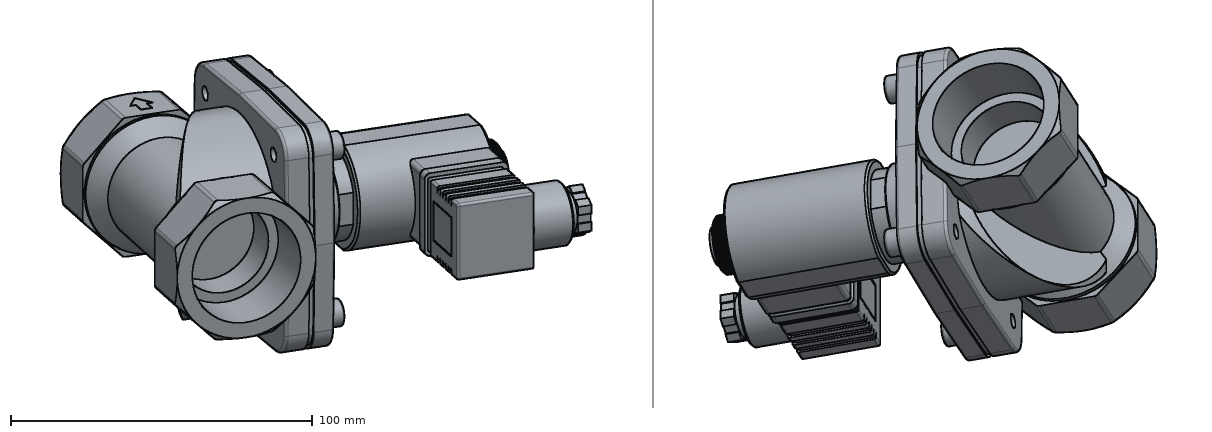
import cadquery as cq
import math


PIPE_HALF_LENGTH = 51.0
OCTAGON_FLATS = 49.7
OCTAGON_LENGTH = 19.7
OCTAGON_EDGE_ROUND = 1.9
PIPE_DIAMETER = 37.5
COLLAR_LENGTH = 1.3
COLLAR_RADIUS = 24.4
THREAD_DIAMETER = 38.9
BORE_DIAMETER = 32.0
BORE_DEPTH = 32.5

ARROW_TIP_X = -46.7
ARROW_LENGTH = 10.4
ARROW_HEAD_LENGTH = 5.9
ARROW_HEAD_WIDTH = 8.0
ARROW_SHAFT_WIDTH = 4.0
ARROW_DEPTH = 0.1

BOWL_RADIUS = 34.0
BOWL_SLANT = 30.0
BOWL_EDGE_ANGLE = 30.0

FLANGE_HALF_WIDTH = 41.0
FLANGE_CORNER = 39.6
FLANGE_CORNER_ROUND = 8.9
FLANGE_EDGE_ROUND = 1.0
COVER_EDGE_ROUND = 0.7
GASKET_INSET = 0.7
FLANGE_BOTTOM_Y = 18.3
GASKET_BOTTOM_Y = 26.9
COVER_BOTTOM_Y = 28.7
COVER_TOP_Y = 36.0

SCREW_OFFSET = 29.9
SCREW_HEAD_DIAMETER = 9.5
SCREW_HEAD_HEIGHT = 6.2
SCREW_HEAD_ROUND = 0.7
SCREW_HOLE_DIAMETER = 4.9
SCREW_HOLE_DEPTH = 2.0

CONE_TOP_Y = 41.1
CONE_TOP_RADIUS = 21.1
NECK_TOP_Y = 47.6
NECK_RADIUS = 17.0
NECK_CHAMFER = 0.5
WRENCH_DIAMETER = 32.0
WRENCH_FLATS = 29.9
TUBE_DIAMETER = 13.0
TUBE_TOP_Y = 112.4

WASHER_DIAMETER = 19.0
NUT_BOTTOM_Y = 104.5
NUT_TOP_Y = 110.6
NUT_RADIUS = 10.0
NUT_CHAMFER = 0.9
KNURL_COUNT = 90
KNURL_DEPTH = 0.3

COIL_BOTTOM_Y = 53.1
COIL_TOP_Y = 103.4
COIL_DIAMETER = 38.9
COIL_FLATS = 37.5
COIL_CHAMFER = 0.7
BLOCK_END_X = 24.8
BLOCK_BOTTOM_Y = 73.5
BLOCK_WIDTH = 27.8
BLOCK_ROUND = 1.6

PLUG_GASKET_END_X = 29.7
PLUG_GASKET_BOTTOM_Y = 72.6
PLUG_GASKET_TOP_Y = 102.6
PLUG_GASKET_WIDTH = 29.6
PLUG_GASKET_ROUND = 2.0
PLUG_GASKET_CHAMFER = 0.7
PLUG_END_X = 56.5
PLUG_BOTTOM_Y = 73.4
PLUG_TOP_Y = 101.2
PLUG_WIDTH = 27.4
PLUG_ROUND = 0.9
PLUG_NECK_END_X = 33.1
PLUG_NECK_INSET = 0.5
GROOVE_START_X = 39.0
GROOVE_WIDTH = 2.5
GROOVE_PITCH = 4.9
GROOVE_COUNT = 3
GROOVE_DEPTH = 0.7
GROOVE_CORNER_ROUND = 1.6
LABEL_START_X = 35.3
LABEL_LENGTH = 15.7
LABEL_WIDTH = 13.9
LABEL_DEPTH = 0.3

GLAND_X = 44.8
GLAND_DIAMETER = 22.0
GLAND_TOP_Y = 115.8
GLAND_CHAMFER = 0.7
GLAND_NECK_DIAMETER = 14.0
CAP_BOTTOM_Y = 118.3
CAP_TOP_Y = 123.0
CAP_FLATS = 15.8
CAP_NOTCH_DEPTH = 0.6


def plate(y):
    """Workplane at height y facing +Y; its local axes are X and -Z."""
    return cq.Workplane("XZ", origin=(0, y, 0)).transformed(rotate=(180, 0, 0))


def post(diameter, bottom_y, top_y, x=0.0):
    """Cylinder along Y."""
    return plate(bottom_y).center(x, 0).circle(diameter / 2).extrude(top_y - bottom_y)


def block(x_range, y_range, width):
    """Box centred on Z = 0."""
    length = x_range[1] - x_range[0]
    height = y_range[1] - y_range[0]
    corner = cq.Vector(x_range[0], y_range[0], -width / 2)
    return cq.Workplane(cq.Solid.makeBox(length, height, width, corner))


def pipe_end():
    """Octagonal -X pipe end with its outer chamfer, collar and cone down to the pipe."""
    outer_x = -PIPE_HALF_LENGTH
    octagon_end_x = outer_x + OCTAGON_LENGTH
    cone_start_x = octagon_end_x + COLLAR_LENGTH
    flat_radius = OCTAGON_FLATS / 2
    corner_radius = flat_radius / math.cos(math.pi / 8)
    pipe_radius = PIPE_DIAMETER / 2
    chamfer = corner_radius - flat_radius
    octagon = (
        cq.Workplane("YZ", origin=(outer_x, 0, 0))
        .polygon(8, 2 * corner_radius)
        .extrude(OCTAGON_LENGTH)
        .rotate((0, 0, 0), (1, 0, 0), 22.5)
        .edges("|X")
        .fillet(OCTAGON_EDGE_ROUND)
    )
    envelope = (
        cq.Workplane("XY")
        .moveTo(outer_x, 0)
        .lineTo(outer_x, flat_radius)
        .lineTo(outer_x + chamfer, corner_radius)
        .lineTo(octagon_end_x, corner_radius)
        .lineTo(octagon_end_x, 0)
        .close()
        .revolve(360, (0, 0, 0), (1, 0, 0))
    )
    collar = (
        cq.Workplane("XY")
        .moveTo(octagon_end_x, 0)
        .lineTo(octagon_end_x, COLLAR_RADIUS)
        .lineTo(cone_start_x, COLLAR_RADIUS)
        .lineTo(cone_start_x + COLLAR_RADIUS - pipe_radius, pipe_radius)
        .lineTo(0, pipe_radius)
        .lineTo(0, 0)
        .close()
        .revolve(360, (0, 0, 0), (1, 0, 0))
    )
    return octagon.intersect(envelope).union(collar)


def pipe_bore():
    """Stepped blind bore entering from the -X end."""
    mouth = cq.Workplane("YZ", origin=(-PIPE_HALF_LENGTH, 0, 0))
    thread = mouth.circle(THREAD_DIAMETER / 2).extrude(OCTAGON_LENGTH)
    return thread.union(mouth.circle(BORE_DIAMETER / 2).extrude(BORE_DEPTH))


def flow_arrow():
    """Arrow-shaped cutter that points toward -X."""
    head_end_x = ARROW_TIP_X + ARROW_HEAD_LENGTH
    tail_x = ARROW_TIP_X + ARROW_LENGTH
    return (
        cq.Workplane("XY", origin=(0, 0, OCTAGON_FLATS / 2 - ARROW_DEPTH))
        .moveTo(ARROW_TIP_X, 0)
        .lineTo(head_end_x, ARROW_HEAD_WIDTH / 2)
        .lineTo(head_end_x, ARROW_SHAFT_WIDTH / 2)
        .lineTo(tail_x, ARROW_SHAFT_WIDTH / 2)
        .lineTo(tail_x, -ARROW_SHAFT_WIDTH / 2)
        .lineTo(head_end_x, -ARROW_SHAFT_WIDTH / 2)
        .lineTo(head_end_x, -ARROW_HEAD_WIDTH / 2)
        .close()
        .extrude(2 * ARROW_DEPTH)
    )


def bowl():
    """Round bowl under the flange, ending in a slanted disc with a conical rim."""
    slant = math.radians(BOWL_SLANT)
    height = 2 * BOWL_RADIUS
    widening = height / math.tan(math.radians(BOWL_EDGE_ANGLE))
    slanted_cone = cq.Solid.makeCone(
        BOWL_RADIUS,
        BOWL_RADIUS + widening,
        height,
        cq.Vector(0, 0, 0),
        cq.Vector(math.sin(slant), math.cos(slant), 0),
    )
    return post(2 * BOWL_RADIUS, -BOWL_RADIUS, FLANGE_BOTTOM_Y).intersect(cq.Workplane(slanted_cone))


def flange(bottom_y, top_y, inset=0.0):
    """Square plate with rounded corners and slightly peaked sides."""
    peak = FLANGE_HALF_WIDTH - inset
    corner = FLANGE_CORNER - inset
    outline = [
        (peak, 0),
        (corner, corner),
        (0, peak),
        (-corner, corner),
        (-peak, 0),
        (-corner, -corner),
        (0, -peak),
        (corner, -corner),
    ]
    corner_edges = cq.selectors.BoxSelector
    solid = plate(bottom_y).polyline(outline).close().extrude(top_y - bottom_y)
    reach = corner + 1.5
    for x_side in (-1, 1):
        for z_side in (-1, 1):
            near = (x_side * (corner - 1.5), bottom_y, z_side * (corner - 1.5))
            far = (x_side * reach, top_y, z_side * reach)
            solid = solid.edges(corner_edges(near, far)).edges("|Y").fillet(FLANGE_CORNER_ROUND)
    return solid


def screw_points(y):
    """The four screw axes on a workplane at height y."""
    return plate(y).rect(2 * SCREW_OFFSET, 2 * SCREW_OFFSET, forConstruction=True).vertices()


def knurled_nut():
    """Nut with pointed knurls around it and chamfered rims."""
    outline = []
    for i in range(2 * KNURL_COUNT):
        angle = math.pi * i / KNURL_COUNT
        radius = NUT_RADIUS - KNURL_DEPTH * (i % 2)
        outline.append((radius * math.cos(angle), radius * math.sin(angle)))
    knurl = plate(NUT_BOTTOM_Y).polyline(outline).close().extrude(NUT_TOP_Y - NUT_BOTTOM_Y)
    envelope = post(2 * NUT_RADIUS, NUT_BOTTOM_Y, NUT_TOP_Y).edges().chamfer(NUT_CHAMFER)
    return knurl.intersect(envelope)


def make_valve():
    """Valve body with its cover, screws, solenoid tube and nut."""
    west_end = pipe_end()
    lower_flange = flange(FLANGE_BOTTOM_Y, GASKET_BOTTOM_Y)
    gasket = flange(GASKET_BOTTOM_Y, COVER_BOTTOM_Y, GASKET_INSET)
    cover = flange(COVER_BOTTOM_Y, COVER_TOP_Y)
    cone_height = CONE_TOP_Y - COVER_TOP_Y
    cone = cq.Solid.makeCone(
        CONE_TOP_RADIUS + cone_height,
        CONE_TOP_RADIUS,
        cone_height,
        cq.Vector(0, COVER_TOP_Y, 0),
        cq.Vector(0, 1, 0),
    )
    heads = screw_points(COVER_TOP_Y).circle(SCREW_HEAD_DIAMETER / 2).extrude(SCREW_HEAD_HEIGHT)
    neck = post(2 * NECK_RADIUS, CONE_TOP_Y, NECK_TOP_Y).faces(">Y").chamfer(NECK_CHAMFER)
    wrench_part = post(WRENCH_DIAMETER, NECK_TOP_Y, COIL_BOTTOM_Y).intersect(
        block((-WRENCH_FLATS / 2, WRENCH_FLATS / 2), (NECK_TOP_Y, COIL_BOTTOM_Y), WRENCH_DIAMETER)
    )
    valve = (
        west_end.union(west_end.mirror("YZ"))
        .union(bowl())
        .union(lower_flange.faces("<Y").edges().fillet(FLANGE_EDGE_ROUND))
        .union(gasket)
        .union(cover.faces(">Y").edges().fillet(COVER_EDGE_ROUND))
        .union(cq.Workplane(cone))
        .union(heads.faces(">Y").edges().fillet(SCREW_HEAD_ROUND))
        .union(neck)
        .union(wrench_part)
        .union(post(TUBE_DIAMETER, COIL_BOTTOM_Y, TUBE_TOP_Y))
        .union(post(WASHER_DIAMETER, COIL_TOP_Y, NUT_BOTTOM_Y))
        .union(knurled_nut())
    )
    screw_holes = screw_points(FLANGE_BOTTOM_Y).circle(SCREW_HOLE_DIAMETER / 2).extrude(SCREW_HOLE_DEPTH)
    bore = pipe_bore()
    return valve.cut(bore).cut(bore.mirror("YZ")).cut(screw_holes).cut(flow_arrow())


def make_coil():
    """Round coil with two flats, a terminal block on its +X side and a hole for the tube."""
    radius = COIL_DIAMETER / 2
    slab = block((-radius, radius), (COIL_BOTTOM_Y, COIL_TOP_Y), COIL_FLATS)
    slab = slab.faces(">Z or <Z").edges("|X").chamfer(COIL_CHAMFER)
    winding = post(COIL_DIAMETER, COIL_BOTTOM_Y, COIL_TOP_Y).edges().chamfer(COIL_CHAMFER).intersect(slab)
    terminal = block((0, BLOCK_END_X), (BLOCK_BOTTOM_Y, COIL_TOP_Y), BLOCK_WIDTH)
    terminal = terminal.edges("|X").fillet(BLOCK_ROUND)
    return winding.union(terminal).cut(post(TUBE_DIAMETER, COIL_BOTTOM_Y, COIL_TOP_Y))


def gland_cap():
    """Hexagonal cap with the middle third of each side notched."""
    height = CAP_TOP_Y - CAP_BOTTOM_Y
    corner_diameter = CAP_FLATS / math.cos(math.pi / 6)
    side = corner_diameter / 2
    cap = cq.Workplane("XZ", origin=(GLAND_X, CAP_TOP_Y, 0)).polygon(6, corner_diameter).extrude(height)
    for i in range(6):
        notch = (
            cq.Workplane("XZ", origin=(GLAND_X, CAP_TOP_Y, 0))
            .center(0, CAP_FLATS / 2)
            .rect(side / 3, 2 * CAP_NOTCH_DEPTH)
            .extrude(height)
            .rotate((GLAND_X, 0, 0), (GLAND_X, 1, 0), 60 * i)
        )
        cap = cap.cut(notch)
    return cap.rotate((GLAND_X, 0, 0), (GLAND_X, 1, 0), 30)


def make_plug():
    """Connector plug with its gasket, side grooves and cable gland."""
    gasket = block(
        (BLOCK_END_X, PLUG_GASKET_END_X), (PLUG_GASKET_BOTTOM_Y, PLUG_GASKET_TOP_Y), PLUG_GASKET_WIDTH
    )
    gasket = gasket.edges("|X").fillet(PLUG_GASKET_ROUND).faces("<X").chamfer(PLUG_GASKET_CHAMFER)
    neck = block(
        (PLUG_GASKET_END_X, PLUG_NECK_END_X),
        (PLUG_BOTTOM_Y + PLUG_NECK_INSET, PLUG_TOP_Y - PLUG_NECK_INSET),
        PLUG_WIDTH - 2 * PLUG_NECK_INSET,
    )
    housing = block((PLUG_NECK_END_X, PLUG_END_X), (PLUG_BOTTOM_Y, PLUG_TOP_Y), PLUG_WIDTH)
    housing = housing.edges("|X or >X").fillet(PLUG_ROUND)
    for i in range(GROOVE_COUNT):
        start_x = GROOVE_START_X + i * GROOVE_PITCH
        groove_range = (start_x, start_x + GROOVE_WIDTH)
        slab = block(groove_range, (PLUG_BOTTOM_Y, PLUG_TOP_Y), PLUG_WIDTH)
        core = block(groove_range, (PLUG_BOTTOM_Y, PLUG_TOP_Y), PLUG_WIDTH - 2 * GROOVE_DEPTH)
        housing = housing.cut(slab.cut(core.edges("|X").fillet(GROOVE_CORNER_ROUND)))
    label = block(
        (LABEL_START_X, LABEL_START_X + LABEL_LENGTH),
        (PLUG_BOTTOM_Y, PLUG_BOTTOM_Y + LABEL_DEPTH),
        LABEL_WIDTH,
    )
    gland = post(GLAND_DIAMETER, PLUG_TOP_Y, GLAND_TOP_Y, GLAND_X).faces(">Y").chamfer(GLAND_CHAMFER)
    return (
        housing.cut(label)
        .union(gasket)
        .union(neck.edges("|X").fillet(PLUG_ROUND))
        .union(gland)
        .union(post(GLAND_NECK_DIAMETER, GLAND_TOP_Y, CAP_BOTTOM_Y, GLAND_X))
        .union(gland_cap())
    )


valve = make_valve()
coil = make_coil()
plug = make_plug()

result = cq.Compound.makeCompound([valve.val(), coil.val(), plug.val()])